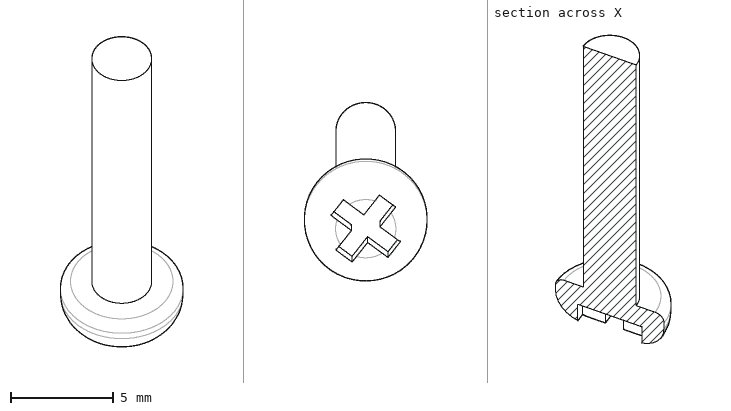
import cadquery as cq

total_length = 18.4
shank_diameter = 2.93

head_diameter = 6.0
head_height = 2.41
upper_edge_radius = 0.5
rim_height = 0.39
crown_radius = head_height - upper_edge_radius - rim_height

recess_span = 3.5
recess_width = 1.0
recess_depth = 1.1


def make_head():
    """Disc with a large round at the crown and a small one under the shank."""
    head = cq.Workplane("XY").circle(head_diameter / 2).extrude(head_height)
    head = head.faces("<Z").edges().fillet(crown_radius)
    return head.faces(">Z").edges().fillet(upper_edge_radius)


def make_shank():
    """Plain cylinder from the head to the free end."""
    shank_length = total_length - head_height
    shank = cq.Workplane("XY").workplane(offset=head_height)
    return shank.circle(shank_diameter / 2).extrude(shank_length)


def make_recess():
    """Two crossed slots opening at the crown."""
    cross = cq.Workplane("XY").rect(recess_span, recess_width).extrude(recess_depth)
    return cross.union(cross.rotate((0, 0, 0), (0, 0, 1), 90))


result = make_head().union(make_shank()).cut(make_recess())